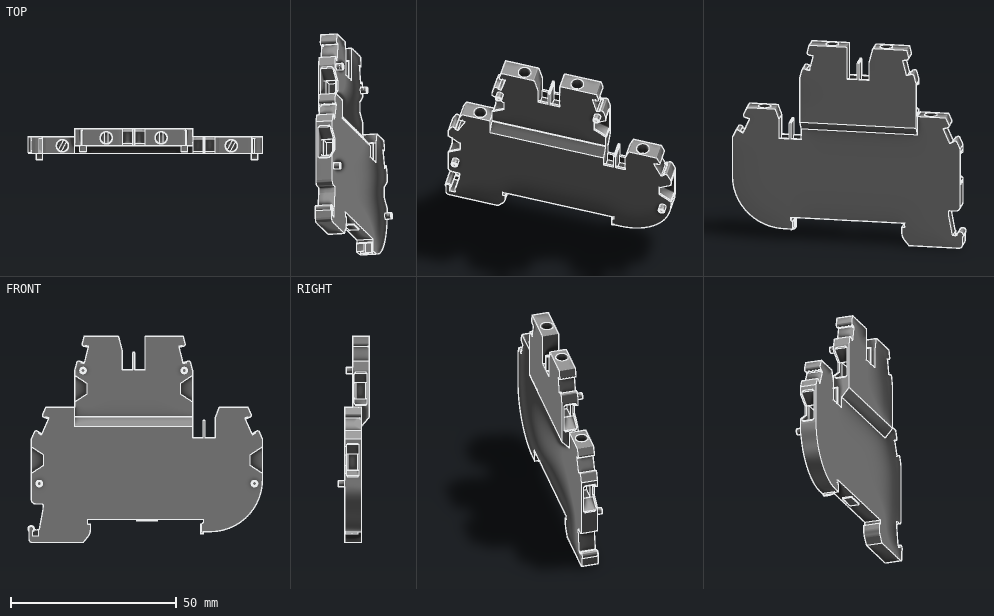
import cadquery as cq
import math


TIER_THICKNESS = 5.1
UPPER_SETBACK = 2.4
UPPER_BACK = UPPER_SETBACK + TIER_THICKNESS
LOWER_WIDTH = 70.0
LOWER_TOP = 41.0
UPPER_CENTER = 31.0
UPPER_WIDTH = 35.75
UPPER_LEFT = UPPER_CENTER - UPPER_WIDTH / 2
UPPER_RIGHT = UPPER_CENTER + UPPER_WIDTH / 2
UPPER_TOP = 62.5
RAMP_BOTTOM = 35.2
RAMP_TOP = 38.0
RIDGE_HEIGHT = 0.2
RIDGE_WIDTH = 0.1
BACK_WALL = 0.5
EDGE_RADIUS = 0.2
LEDGE_RADIUS = 0.6
HOOK_RADIUS = 0.7

LOWER_SHOULDER = [
    (0, 31.4, 0),
    (1.25, 34.15, LEDGE_RADIUS),
    (3.2, 32.95, 0),
    (5.2, 37.45, 0),
    (3.15, 38.2, HOOK_RADIUS),
    (4.4, LOWER_TOP, EDGE_RADIUS),
]
UPPER_SHOULDER = [
    (0, 52.1, 0),
    (0.8, 55.15, LEDGE_RADIUS),
    (2.95, 54.5, 0),
    (4.1, 59.15, 0),
    (2.1, 59.55, HOOK_RADIUS),
    (2.85, UPPER_TOP, EDGE_RADIUS),
]
LEDGE_CORNER, HOOK_CORNER = 2, 3
UNDERCUT_LENGTH = 0.95
UNDERCUT_DEPTH = 0.35

SLOT_WIDTH = 6.8
UPPER_SLOT_FLOOR = 52.4
LOWER_SLOT_FLOOR = 31.8
LOWER_SLOT_RIGHT = UPPER_RIGHT + SLOT_WIDTH
LEAD_IN_RUN = 1.15
LEAD_IN_RADIUS = 0.5
UPPER_LEAD_IN_DROP = 4.5
LOWER_LEAD_IN_DROP = 3.1
SLOT_RIM = 0.65
SLOT_WELL_DEPTH = 3.0
BLADE_THICKNESS = 0.66
BLADE_HEIGHT = 5.3
BLADE_TIP = 0.3

RAIL_CEILING = 7.0
RAIL_LEFT = 17.05
RAIL_RIGHT = 52.1
BELLY_BOTTOM = 3.3
BELLY_RADIUS = 15.8
FOOT_LEFT = -0.7
FOOT_CORNER_RADIUS = 1.1
FOOT_FLAT_END = 15.7
HEEL_RIGHT, HEEL_TOP = 17.95, 5.65
HEEL_KNEE_Z, HEEL_KNEE_RADIUS = 2.75, 3.5
SIDE_WALL_BOTTOM = 11.7
SIDE_WALL_RADIUS = 1.4
CLIP_NECK_X, CLIP_NECK_BEND_X, CLIP_NECK_BEND_Z = 3.65, 3.5, 9.9
CLIP_ROOT_X, CLIP_ROOT_Z = 2.4, 4.0
CLIP_DIP_X, CLIP_DIP_Z = 1.5, 3.9
CLIP_CORNER_RADIUS = 0.4
CLIP_DIAMETER = 2.0
CLIP_CHAMFER = 0.25
CLIP_Z = 4.2
CLIP_POCKET_LEFT, CLIP_POCKET_RIGHT = 0.4, 2.25
CLIP_POCKET_FLOOR, CLIP_POCKET_TOP = 2.0, 4.3
TOE_REACH = 0.9
TOE_SETBACK = 0.6
TOE_SLANT_RISE = 0.45
TOE_TOP, TOE_BOTTOM = 5.7, 2.7
TOE_FRONT, TOE_FULL_END, TOE_BACK = 0.3, 2.2, 4.0
PAD_WIDTH, PAD_HEIGHT, PAD_DEPTH = 6.3, 0.35, 3.0

PIN_DIAMETER = 2.0
PIN_LENGTH = 2.0
PIN_CHAMFER = 0.15
PIN_BORE = 1.2
PIN_BORE_DEPTH = 1.0
LOWER_PIN_INSET, LOWER_PIN_Z = 2.45, 17.9
UPPER_PIN_INSET, UPPER_PIN_Z = 2.55, 52.1

SCREW_HOLE = 3.8
SCREW_HOLE_DEPTH = 6.0
SCREW_HEAD = 3.5
SCREW_HEAD_HEIGHT = 1.5
SCREW_SLOT_WIDTH = 1.0
SCREW_SLOT_DEPTH = 0.8
SCREW_Y = 2.35
LOWER_SCREW_INSET = 9.45
UPPER_SCREW_OFFSET = 8.3
LOWER_SCREW_TURN = -28.0

NOTCH_MOUTH, NOTCH_FLOOR, NOTCH_DEPTH = 8.1, 3.2, 3.75
FUNNEL_MOUTH, FUNNEL_FLOOR, FUNNEL_DEPTH = 9.6, 5.0, 4.7
MOUTH_BEVEL_WIDTH, MOUTH_BEVEL_DEPTH = 0.25, 0.3
FUNNEL_FRONT, FUNNEL_BACK = 0.5, 4.4
FUNNEL_FLOOR_DROP = 0.6
FUNNEL_FILLET = 0.4
WIRE_HOLE_FRONT, WIRE_HOLE_BACK = 1.0, 3.9
WIRE_HOLE_HEIGHT = 4.9
WIRE_HOLE_DEPTH = 4.0
LOWER_ENTRY_Z = 25.0
UPPER_ENTRY_Z = 46.6


def rounded_outline(corners, front, thickness):
    """Extrude an XZ polygon of (x, z, corner radius) corners from Y = front towards +Y."""
    path = []
    count = len(corners)
    for i, (x, z, radius) in enumerate(corners):
        corner = cq.Vector(x, z)
        if radius == 0:
            path.append((corner, None, corner))
            continue
        before = (cq.Vector(*corners[i - 1][:2]) - corner).normalized()
        after = (cq.Vector(*corners[(i + 1) % count][:2]) - corner).normalized()
        half_angle = before.getAngle(after) / 2
        setback = radius / math.tan(half_angle)
        sagitta = radius / math.sin(half_angle) - radius
        bisector = (before + after).normalized()
        path.append((corner + before * setback, corner + bisector * sagitta, corner + after * setback))
    outline = cq.Workplane("XZ", origin=(0, front, 0)).moveTo(*path[0][2].toTuple()[:2])
    for entry, middle, leave in path[1:] + path[:1]:
        outline = outline.lineTo(*entry.toTuple()[:2])
        if middle is not None:
            outline = outline.threePointArc(middle.toTuple()[:2], leave.toTuple()[:2])
    return outline.wire().extrude(-thickness)


def box(x_range, y_range, z_range):
    """Box between the given limits."""
    low = (x_range[0], y_range[0], z_range[0])
    size = (x_range[1] - x_range[0], y_range[1] - y_range[0], z_range[1] - z_range[0])
    return cq.Workplane("XY").box(*size, centered=False).translate(low)


def left_shoulder(shoulder, wall):
    return [(wall + inset, z, radius) for inset, z, radius in shoulder]


def right_shoulder(shoulder, wall):
    return [(wall - inset, z, radius) for inset, z, radius in reversed(shoulder)]


def lower_tier():
    right_side = right_shoulder(LOWER_SHOULDER, LOWER_WIDTH)
    corners = left_shoulder(LOWER_SHOULDER, 0) + [
        (UPPER_LEFT, LOWER_TOP, 0),
        (UPPER_LEFT, RAMP_BOTTOM, 0),
        (UPPER_RIGHT, RAMP_BOTTOM, 0),
        (UPPER_RIGHT, LOWER_SLOT_FLOOR, 0),
        (LOWER_SLOT_RIGHT, LOWER_SLOT_FLOOR, 0),
        (LOWER_SLOT_RIGHT, LOWER_TOP - LOWER_LEAD_IN_DROP, 0),
        (LOWER_SLOT_RIGHT + LEAD_IN_RUN, LOWER_TOP, EDGE_RADIUS),
    ] + right_side + [
        (LOWER_WIDTH, BELLY_BOTTOM, BELLY_RADIUS),
        (RAIL_RIGHT - TOE_SETBACK, BELLY_BOTTOM, 0),
        (RAIL_RIGHT - TOE_SETBACK, TOE_TOP, 0),
        (RAIL_RIGHT, TOE_TOP + TOE_SLANT_RISE, 0),
        (RAIL_RIGHT, RAIL_CEILING, 0),
        (RAIL_LEFT, RAIL_CEILING, 0),
        (RAIL_LEFT, HEEL_TOP, EDGE_RADIUS),
        (HEEL_RIGHT, HEEL_TOP, 0),
        (HEEL_RIGHT, HEEL_KNEE_Z, HEEL_KNEE_RADIUS),
        (FOOT_FLAT_END, 0, 0),
        (FOOT_LEFT, 0, FOOT_CORNER_RADIUS),
        (FOOT_LEFT, CLIP_Z, 0),
        (CLIP_POCKET_LEFT, CLIP_Z, 0),
        (CLIP_DIP_X, CLIP_DIP_Z, 0),
        (CLIP_ROOT_X, CLIP_ROOT_Z, CLIP_CORNER_RADIUS),
        (CLIP_NECK_BEND_X, CLIP_NECK_BEND_Z, 0),
        (CLIP_NECK_X, SIDE_WALL_BOTTOM, CLIP_CORNER_RADIUS),
        (0, SIDE_WALL_BOTTOM, SIDE_WALL_RADIUS),
    ]
    return rounded_outline(corners, 0, TIER_THICKNESS)


def upper_tier():
    slot_left = UPPER_CENTER - SLOT_WIDTH / 2
    slot_right = UPPER_CENTER + SLOT_WIDTH / 2
    corners = [(UPPER_LEFT, RAMP_TOP, 0)] + left_shoulder(UPPER_SHOULDER, UPPER_LEFT) + [
        (slot_left - LEAD_IN_RUN, UPPER_TOP, LEAD_IN_RADIUS),
        (slot_left, UPPER_TOP - UPPER_LEAD_IN_DROP, 0),
        (slot_left, UPPER_SLOT_FLOOR, 0),
        (slot_right, UPPER_SLOT_FLOOR, 0),
        (slot_right, UPPER_TOP, EDGE_RADIUS),
    ] + right_shoulder(UPPER_SHOULDER, UPPER_RIGHT) + [(UPPER_RIGHT, RAMP_TOP, 0)]
    return rounded_outline(corners, UPPER_SETBACK, TIER_THICKNESS)


def ramp():
    """Slanted neck that carries the set-back upper tier, with a narrow ridge at its top."""
    ridge_front = UPPER_SETBACK - RIDGE_WIDTH
    section = [
        (0, RAMP_BOTTOM),
        (ridge_front, RAMP_TOP),
        (ridge_front, RAMP_TOP + RIDGE_HEIGHT),
        (UPPER_SETBACK, RAMP_TOP + RIDGE_HEIGHT),
        (UPPER_SETBACK, RAMP_TOP),
        (UPPER_BACK, RAMP_TOP),
        (TIER_THICKNESS, RAMP_BOTTOM),
    ]
    return cq.Workplane("YZ", origin=(UPPER_LEFT, 0, 0)).polyline(section).close().extrude(UPPER_WIDTH)


def shoulder_undercuts(shoulder, wall, direction, front):
    """Marker-strip undercuts in the ledge and hook corners; direction is +1 for a left wall."""
    cutters = cq.Workplane("XZ", origin=(0, front, 0))
    for corner, outer, side in ((LEDGE_CORNER, LEDGE_CORNER - 1, -1), (HOOK_CORNER, HOOK_CORNER + 1, 1)):
        inset, z, _ = shoulder[corner]
        run = shoulder[outer][0] - inset
        rise = shoulder[outer][1] - z
        length = math.hypot(run, rise)
        along = (run / length, rise / length)
        across = (along[1] * side, -along[0] * side)
        points = [
            (0, 0),
            (UNDERCUT_LENGTH, 0),
            (UNDERCUT_LENGTH, UNDERCUT_DEPTH),
            (0, UNDERCUT_DEPTH),
        ]
        outline = [
            (
                wall + direction * (inset + a * along[0] + c * across[0]),
                z + a * along[1] + c * across[1],
            )
            for a, c in points
        ]
        cutters = cutters.polyline(outline).close()
    return cutters.extrude(-(TIER_THICKNESS - BACK_WALL))


def slot_well(center, floor, front):
    """Recess in a jumper slot floor, leaving a rim along both faces."""
    half = SLOT_WIDTH / 2
    depth_range = (front + SLOT_RIM, front + TIER_THICKNESS - SLOT_RIM)
    return box((center - half, center + half), depth_range, (floor - SLOT_WELL_DEPTH, floor))


def blade(center, floor, front):
    """Thin contact blade standing in a jumper slot."""
    bottom = floor - SLOT_WELL_DEPTH
    plate = box(
        (center - BLADE_THICKNESS / 2, center + BLADE_THICKNESS / 2),
        (front, front + TIER_THICKNESS),
        (bottom, floor + BLADE_HEIGHT),
    )
    return plate.faces(">Z").edges("|Y").chamfer(BLADE_TIP, BLADE_TIP / 2)


def pin(x, z, front):
    """Hollow locating pin standing out from a front face."""
    body = cq.Workplane("XZ", origin=(x, front, z)).circle(PIN_DIAMETER / 2).extrude(PIN_LENGTH)
    body = body.faces("<Y").edges().chamfer(PIN_CHAMFER)
    return body.faces("<Y").workplane().hole(PIN_BORE, PIN_BORE_DEPTH)


def screw_well(x, y, top, turn):
    """Screw hole with the slotted screw head left standing at its bottom."""
    bottom = top - SCREW_HOLE_DEPTH
    hole = cq.Workplane("XY", origin=(x, y, bottom)).circle(SCREW_HOLE / 2).extrude(SCREW_HOLE_DEPTH)
    head = cq.Workplane("XY", origin=(x, y, bottom)).circle(SCREW_HEAD / 2).extrude(SCREW_HEAD_HEIGHT)
    slot = (
        cq.Workplane("XY", origin=(x, y, bottom + SCREW_HEAD_HEIGHT - SCREW_SLOT_DEPTH))
        .transformed(rotate=(0, 0, turn))
        .rect(SCREW_SLOT_WIDTH, SCREW_HOLE)
        .extrude(SCREW_SLOT_DEPTH)
    )
    return hole.cut(head.cut(slot))


def wire_entry(wall, direction, z, front):
    """Tapered notch open to the front, wider bevelled funnel behind it and wire hole at its end."""

    def taper(mouth_z, mouth, floor_z, floor, depth, y_start, y_end):
        outline = [
            (wall, mouth_z - mouth / 2),
            (wall + direction * depth, floor_z - floor / 2),
            (wall + direction * depth, floor_z + floor / 2),
            (wall, mouth_z + mouth / 2),
        ]
        plane = cq.Workplane("XZ", origin=(0, front + y_start, 0))
        return plane.polyline(outline).close().extrude(y_start - y_end)

    floor_z = z - FUNNEL_FLOOR_DROP
    notch = taper(z, NOTCH_MOUTH, z, NOTCH_FLOOR, NOTCH_DEPTH, 0, TIER_THICKNESS / 2)
    funnel = taper(z, FUNNEL_MOUTH, floor_z, FUNNEL_FLOOR, FUNNEL_DEPTH, FUNNEL_FRONT, FUNNEL_BACK)
    mouth_side = "<X" if direction > 0 else ">X"
    funnel = funnel.edges(f"(<Y or >Y) and (not {mouth_side})").fillet(FUNNEL_FILLET)
    bevel = taper(
        z,
        FUNNEL_MOUTH + 2 * MOUTH_BEVEL_WIDTH,
        z,
        FUNNEL_MOUTH - 2 * MOUTH_BEVEL_WIDTH,
        MOUTH_BEVEL_DEPTH,
        FUNNEL_FRONT + FUNNEL_FILLET,
        FUNNEL_BACK - FUNNEL_FILLET,
    )
    hole_start = wall + direction * (FUNNEL_DEPTH - FUNNEL_FILLET)
    hole_end = wall + direction * (FUNNEL_DEPTH + WIRE_HOLE_DEPTH)
    hole = box(
        sorted((hole_start, hole_end)),
        (front + WIRE_HOLE_FRONT, front + WIRE_HOLE_BACK),
        (floor_z - WIRE_HOLE_HEIGHT / 2, floor_z + WIRE_HOLE_HEIGHT / 2),
    )
    return notch.union(funnel).union(bevel).union(hole)


def clip_roll():
    """Round bead along the tip of the rail clip."""
    roll = cq.Workplane("XZ", origin=(0, 0, CLIP_Z)).circle(CLIP_DIAMETER / 2).extrude(-TIER_THICKNESS)
    return roll.faces("<Y").edges().chamfer(CLIP_CHAMFER)


def rail_toe():
    """Tapered toe that grips under the right edge of the rail."""
    tip = RAIL_RIGHT - TOE_REACH
    outline = [
        (RAIL_RIGHT, TOE_FRONT),
        (tip, TOE_FRONT),
        (tip, TOE_FULL_END),
        (RAIL_RIGHT, TOE_BACK),
    ]
    plane = cq.Workplane("XY", origin=(0, 0, TOE_BOTTOM))
    return plane.polyline(outline).close().extrude(TOE_TOP - TOE_BOTTOM)


def rail_pad():
    """Low pad under the middle of the rail recess."""
    center = LOWER_WIDTH / 2
    middle = TIER_THICKNESS / 2
    return box(
        (center - PAD_WIDTH / 2, center + PAD_WIDTH / 2),
        (middle - PAD_DEPTH / 2, middle + PAD_DEPTH / 2),
        (RAIL_CEILING - PAD_HEIGHT, RAIL_CEILING),
    )


body = lower_tier().union(ramp()).union(upper_tier())
body = body.union(rail_toe()).union(rail_pad())

tiers = (
    (0, LOWER_WIDTH, 0, LOWER_SHOULDER, LOWER_ENTRY_Z, LOWER_PIN_INSET, LOWER_PIN_Z),
    (UPPER_LEFT, UPPER_RIGHT, UPPER_SETBACK, UPPER_SHOULDER, UPPER_ENTRY_Z, UPPER_PIN_INSET, UPPER_PIN_Z),
)
for left, right, front, shoulder, entry_z, pin_inset, pin_z in tiers:
    for wall, direction in ((left, 1), (right, -1)):
        body = body.cut(wire_entry(wall, direction, entry_z, front))
        body = body.cut(shoulder_undercuts(shoulder, wall, direction, front))
        body = body.union(pin(wall + direction * pin_inset, pin_z, front))

for x in (LOWER_SCREW_INSET, LOWER_WIDTH - LOWER_SCREW_INSET):
    body = body.cut(screw_well(x, SCREW_Y, LOWER_TOP, LOWER_SCREW_TURN))
for x in (UPPER_CENTER - UPPER_SCREW_OFFSET, UPPER_CENTER + UPPER_SCREW_OFFSET):
    body = body.cut(screw_well(x, UPPER_SETBACK + SCREW_Y, UPPER_TOP, 0))

jumper_slots = (
    (UPPER_CENTER, UPPER_SLOT_FLOOR, UPPER_SETBACK),
    (UPPER_RIGHT + SLOT_WIDTH / 2, LOWER_SLOT_FLOOR, 0),
)
for center, floor, front in jumper_slots:
    body = body.cut(slot_well(center, floor, front)).union(blade(center, floor, front))

clip_pocket = box(
    (CLIP_POCKET_LEFT, CLIP_POCKET_RIGHT),
    (0, TIER_THICKNESS - BACK_WALL),
    (CLIP_POCKET_FLOOR, CLIP_POCKET_TOP),
)
result = body.cut(clip_pocket).union(clip_roll())